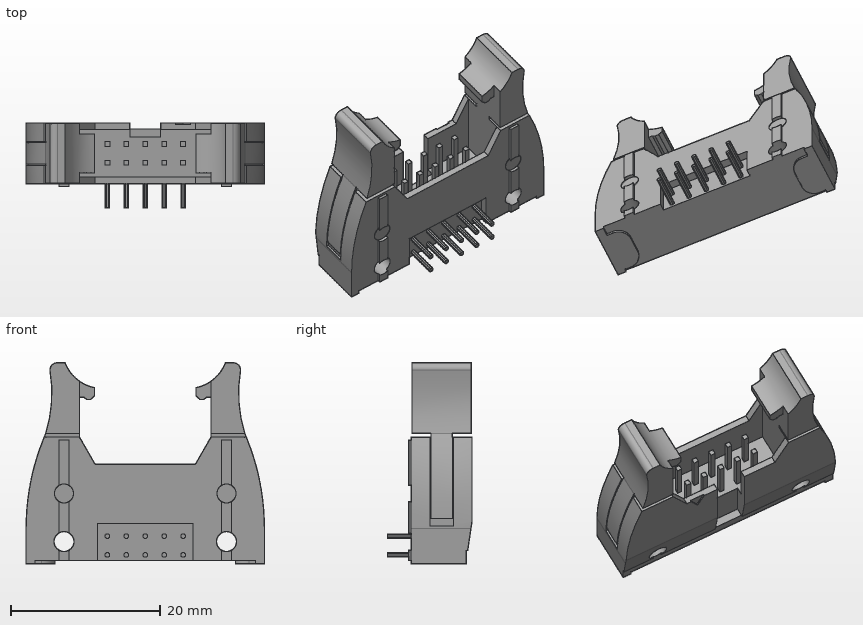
import cadquery as cq
import math


half_length = 16.0
half_width = 4.1
body_top = 17.0
foot_height = 0.45
flank_start = 4.75
flank_top_x = 13.58
back_taper_low = 1.8
back_taper_high = 5.8
back_taper_inset = 0.6
base_inset = 0.8

wall = 0.9
cavity_half_length = 8.8
cavity_floor = 7.4
wall_top = 13.4
wall_dip_half_length = 6.73

notch_width = 4.1
notch_inner_y = 2.2
notch_floor = back_taper_low
arrow_width = 2.0
arrow_depth = 0.2

foot_inner_x = 12.1
foot_outer_strip_x = 14.8
foot_corner_radius = 1.8
foot_setback = 1.2

rib_x = 10.9
rib_width = 1.35
rib_height = 0.35
rib_top = 16.6
hole_z = 3.0
hole_diameter = 2.65
pivot_z = 9.45
pivot_diameter = 2.55
pivot_recess = 0.05

latch_width = 8.0
latch_bottom = 17.5
latch_top = 27.0
latch_inner_x = cavity_half_length
grip_outer_x = 12.8
grip_waist_x = 12.6
grip_waist_z = 21.5
grip_round = 1.0
grip_flat_inner_x = 10.75
grip_shoulder_z = 24.5
stem_width = 2.9
stem_bottom = 6.1
slot_width = 3.2
slot_bottom = 5.1
slot_depth = 0.3
hook_width = 5.2
hook_tip_x = 6.8
hook_tip_z = 23.65
hook_bottom = 22.05
hook_tip_chamfer = 0.5
hook_lip_length = 0.55
hook_root_x = 8.25
hook_root_z = 22.36

contact_columns = 5
contact_pitch = 2.54
contact_size = 0.64
contact_top = wall_top
tail_size = 0.6
tail_chamfer = 0.17
tail_length = 3.2
lower_row_z = 1.2

relief_half_length = 6.38
relief_top = 5.4
relief_depth = 1.0

back_y = half_width
front_y = -half_width

flank_rise = body_top - flank_start
flank_inset = half_length - flank_top_x
flank_radius = (flank_rise**2 + flank_inset**2) / (2 * flank_inset)


def flank_x(z):
    """Half length of the curved end flank at height z."""
    return half_length - flank_radius + math.sqrt(flank_radius**2 - (z - flank_start) ** 2)


def box(x0, x1, y0, y1, z0, z1):
    """Box given by its limits along each axis."""
    return cq.Workplane("XY").box(x1 - x0, y1 - y0, z1 - z0, centered=False).translate((x0, y0, z0))


def extrude_y(sketch, width):
    """Extrude an XZ outline symmetrically about Y = 0."""
    return sketch.close().extrude(width / 2, both=True)


def cylinder_y(x, z, diameter, y0, y1):
    """Cylinder along Y between y0 and y1."""
    return cq.Workplane("XZ", origin=(0, y0, 0)).center(x, z).circle(diameter / 2).extrude(y0 - y1)


def both_ends(shape):
    """The shape together with its mirror image at the -X end."""
    return shape.union(shape.mirror("YZ"))


def make_shell():
    """Outer body with curved flanks and dipped long walls."""
    flank_mid_z = (flank_start + body_top) / 2
    outline = (
        cq.Workplane("XZ")
        .moveTo(0, foot_height)
        .lineTo(half_length, foot_height)
        .lineTo(half_length, flank_start)
        .threePointArc((flank_x(flank_mid_z), flank_mid_z), (flank_top_x, body_top))
        .lineTo(cavity_half_length, body_top)
        .lineTo(wall_dip_half_length, wall_top)
        .lineTo(0, wall_top)
    )
    return both_ends(extrude_y(outline, 2 * half_width))


def make_foot():
    """Low foot under the +X end: rounded pad plus a full-width outer strip."""
    pad_half_width = half_width - foot_setback
    pad = box(foot_inner_x, half_length, -pad_half_width, pad_half_width, 0, foot_height)
    pad = pad.edges("|Z and <X").fillet(foot_corner_radius)
    strip = box(foot_outer_strip_x, half_length, front_y, back_y, 0, foot_height)
    return pad.union(strip)


def make_back_taper():
    """Material removed where the back face leans in towards the base."""
    base_y = back_y - base_inset
    return (
        cq.Workplane("YZ")
        .moveTo(back_y, back_taper_high)
        .lineTo(back_y - back_taper_inset, back_taper_low)
        .lineTo(base_y, back_taper_low)
        .lineTo(base_y, 0)
        .lineTo(back_y, 0)
        .close()
        .extrude(half_length, both=True)
    )


def make_arrow():
    """Triangular pin-one mark sunk into the back face at the wall top."""
    arrow_x = (contact_columns - 1) / 2 * contact_pitch
    arrow_height = arrow_width * math.sqrt(3) / 2
    return (
        cq.Workplane("XZ", origin=(0, back_y, 0))
        .moveTo(arrow_x - arrow_width / 2, wall_top)
        .lineTo(arrow_x + arrow_width / 2, wall_top)
        .lineTo(arrow_x, wall_top - arrow_height)
        .close()
        .extrude(arrow_depth)
    )


def make_slot():
    """Shallow groove in the +X flank that frames the latch stem."""
    mid_z = (slot_bottom + body_top) / 2
    outline = (
        cq.Workplane("XZ")
        .moveTo(half_length, slot_bottom)
        .lineTo(flank_x(slot_bottom) - slot_depth, slot_bottom)
        .threePointArc((flank_x(mid_z) - slot_depth, mid_z), (flank_top_x - slot_depth, body_top))
        .lineTo(half_length, body_top)
    )
    return extrude_y(outline, slot_width)


def make_body():
    """Body with feet, ribs, cavity, notch, latch slots and holes."""
    rib = box(
        rib_x - rib_width / 2, rib_x + rib_width / 2,
        front_y - rib_height, front_y,
        foot_height, rib_top,
    )
    body = make_shell().union(both_ends(make_foot())).union(both_ends(rib))
    body = body.cut(make_back_taper()).cut(make_arrow())

    cavity_half_width = half_width - wall
    body = body.cut(
        box(
            -cavity_half_length, cavity_half_length,
            -cavity_half_width, cavity_half_width,
            cavity_floor, body_top,
        )
    )
    body = body.cut(box(-notch_width / 2, notch_width / 2, notch_inner_y, back_y, notch_floor, body_top))
    body = body.cut(
        box(
            -relief_half_length, relief_half_length,
            front_y, front_y + relief_depth,
            foot_height, relief_top,
        )
    )

    hole = cylinder_y(rib_x, hole_z, hole_diameter, front_y - rib_height, back_y)
    pivot_bore = cylinder_y(rib_x, pivot_z, pivot_diameter, front_y - rib_height, front_y + pivot_recess)
    for cutter in (make_slot(), hole, pivot_bore):
        body = body.cut(both_ends(cutter))
    return body


def make_latch():
    """Latch at the +X end: grip with its hook, and the stem that fills the slot."""
    grip_bottom_x = flank_x(latch_bottom)
    lip_x = hook_tip_x + hook_tip_chamfer
    round_mid = grip_round * (1 - math.sqrt(0.5))
    grip = extrude_y(
        cq.Workplane("XZ")
        .moveTo(latch_inner_x, latch_bottom)
        .lineTo(grip_bottom_x, latch_bottom)
        .threePointArc((grip_waist_x, grip_waist_z), (grip_outer_x, latch_top - grip_round))
        .threePointArc(
            (grip_outer_x - round_mid, latch_top - round_mid),
            (grip_outer_x - grip_round, latch_top),
        )
        .lineTo(grip_flat_inner_x, latch_top)
        .threePointArc((latch_inner_x, grip_shoulder_z), (hook_tip_x, hook_tip_z))
        .lineTo(hook_tip_x, hook_bottom + hook_tip_chamfer)
        .lineTo(lip_x, hook_bottom)
        .lineTo(lip_x + hook_lip_length, hook_bottom)
        .lineTo(hook_root_x, hook_root_z)
        .lineTo(latch_inner_x, hook_root_z),
        latch_width,
    )
    for side in (-1, 1):
        trim_y = side * (hook_width + latch_width) / 4
        trim_half = (latch_width - hook_width) / 4
        trim = box(0, latch_inner_x, trim_y - trim_half, trim_y + trim_half, latch_bottom, latch_top)
        grip = grip.cut(trim)
    stem_mid_z = (stem_bottom + latch_bottom) / 2
    stem = extrude_y(
        cq.Workplane("XZ")
        .moveTo(latch_inner_x, stem_bottom)
        .lineTo(flank_x(stem_bottom), stem_bottom)
        .threePointArc((flank_x(stem_mid_z), stem_mid_z), (grip_bottom_x, latch_bottom))
        .lineTo(latch_inner_x, latch_bottom),
        stem_width,
    )
    return grip.union(stem)


def make_contact(x, y, tail_z):
    """Square post in the cavity and bevelled tail out of the front of one contact."""
    half = contact_size / 2
    post = box(x - half, x + half, y - half, y + half, cavity_floor, contact_top)
    tail_half = tail_size / 2
    tail = box(
        x - tail_half, x + tail_half,
        front_y - tail_length, front_y + relief_depth,
        tail_z - tail_half, tail_z + tail_half,
    )
    return post, tail.edges("|Y").chamfer(tail_chamfer)


def add_contacts(part):
    """Add two rows of contacts; back posts pair with the upper row of tails."""
    for column in range(contact_columns):
        x = (column - (contact_columns - 1) / 2) * contact_pitch
        for row in range(2):
            y = (row - 0.5) * contact_pitch
            for piece in make_contact(x, y, lower_row_z + row * contact_pitch):
                part = part.union(piece)
    return part


result = add_contacts(make_body().union(both_ends(make_latch())))